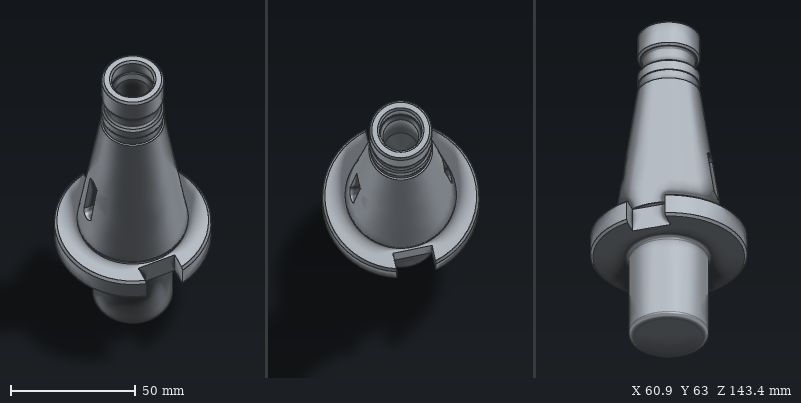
import cadquery as cq

total_height = 143.4
flange_bottom = 38.5
flange_top = 48.8
taper_bottom = 50.5
taper_top = 115.7
land_bottom = 120.2
land_top = 125.2
head_bottom = 132.0

shank_radius = 16.0
flange_radius = 63.0 / 2
relief_edge_radius = 22.0
relief_groove_depth = 0.6
taper_large_radius = 22.4
taper_slope = 7 / 48
taper_small_radius = taper_large_radius - taper_slope * (taper_top - taper_bottom)
collar_radius = 12.0
land_radius = 12.5
neck_radius = 10.6
head_radius = land_radius

shank_end_round = 2.2
shank_root_fillet = 1.7
flange_chamfer = 1.0
head_chamfer = 0.9
neck_root_fillet = 0.6

bore_radius = 7.2
bore_depth = 28.7
counterbore_radius = 8.5
counterbore_depth = 7.7
counterbore_groove_width = 1.1
counterbore_groove_depth = 0.5
countersink_height = 2.0
mouth_radius = 9.3
drill_tip_height = bore_radius * 0.6

notch_width = 16.0
notch_floor = 22.8

slot_width = 6.6
slot_bottom = 62.2
slot_top = 84.2
slot_end_rise = 1.9


def cylinder(radius, bottom, top):
    return cq.Workplane("XY").workplane(offset=bottom).circle(radius).extrude(top - bottom)


def make_shank():
    root_radius = shank_radius + shank_root_fillet
    return (
        cq.Workplane("XZ")
        .lineTo(shank_radius - shank_end_round, 0)
        .radiusArc((shank_radius, shank_end_round), -shank_end_round)
        .lineTo(shank_radius, flange_bottom - shank_root_fillet)
        .radiusArc((root_radius, flange_bottom), shank_root_fillet)
        .lineTo(0, flange_bottom)
        .close()
        .revolve(360, (0, 0, 0), (0, 1, 0))
    )


def make_flange():
    flange = cylinder(flange_radius, flange_bottom, flange_top).edges().chamfer(flange_chamfer)
    notch_depth = flange_radius - notch_floor
    for side in (-1, 1):
        notch = cq.Workplane("XY").box(
            notch_depth, notch_width, flange_top - flange_bottom, centered=(True, True, False)
        )
        flange = flange.cut(notch.translate((side * (notch_floor + notch_depth / 2), 0, flange_bottom)))
    return flange


def make_taper():
    relief_middle = (flange_top + taper_bottom) / 2
    return (
        cq.Workplane("XZ")
        .moveTo(0, flange_top)
        .lineTo(relief_edge_radius, flange_top)
        .threePointArc(
            (relief_edge_radius - relief_groove_depth, relief_middle),
            (relief_edge_radius, taper_bottom),
        )
        .lineTo(taper_large_radius, taper_bottom)
        .lineTo(taper_small_radius, taper_top)
        .lineTo(0, taper_top)
        .close()
        .revolve(360, (0, 0, 0), (0, 1, 0))
    )


def make_head():
    collar = cylinder(collar_radius, taper_top, land_bottom)
    land = cylinder(land_radius, land_bottom, land_top).faces(">Z").edges().chamfer(head_chamfer)
    root_radius = neck_radius + neck_root_fillet
    neck = (
        cq.Workplane("XZ")
        .moveTo(0, land_top)
        .lineTo(root_radius, land_top)
        .radiusArc((neck_radius, land_top + neck_root_fillet), neck_root_fillet)
        .lineTo(neck_radius, head_bottom - neck_root_fillet)
        .radiusArc((root_radius, head_bottom), neck_root_fillet)
        .lineTo(0, head_bottom)
        .close()
        .revolve(360, (0, 0, 0), (0, 1, 0))
    )
    head = cylinder(head_radius, head_bottom, total_height).edges().chamfer(head_chamfer)
    return collar.union(land).union(neck).union(head)


def make_bore():
    mouth_chamfer = mouth_radius - counterbore_radius
    counterbore_floor = total_height - counterbore_depth
    groove_top = counterbore_floor + counterbore_groove_width
    groove_middle = (groove_top + counterbore_floor) / 2
    bore_floor = total_height - bore_depth
    return (
        cq.Workplane("XZ")
        .moveTo(0, total_height)
        .lineTo(mouth_radius, total_height)
        .lineTo(counterbore_radius, total_height - mouth_chamfer)
        .lineTo(counterbore_radius, groove_top)
        .threePointArc(
            (counterbore_radius + counterbore_groove_depth, groove_middle),
            (counterbore_radius, counterbore_floor),
        )
        .lineTo(bore_radius, counterbore_floor - countersink_height)
        .lineTo(bore_radius, bore_floor)
        .lineTo(0, bore_floor - drill_tip_height)
        .close()
        .revolve(360, (0, 0, 0), (0, 1, 0))
    )


def make_ejector_slot():
    half_width = slot_width / 2
    return (
        cq.Workplane("XZ")
        .moveTo(-half_width, slot_bottom + slot_end_rise)
        .threePointArc((0, slot_bottom), (half_width, slot_bottom + slot_end_rise))
        .lineTo(half_width, slot_top - slot_end_rise)
        .threePointArc((0, slot_top), (-half_width, slot_top - slot_end_rise))
        .close()
        .extrude(taper_large_radius, both=True)
    )


body = make_shank().union(make_flange()).union(make_taper()).union(make_head())
result = body.cut(make_bore()).cut(make_ejector_slot())